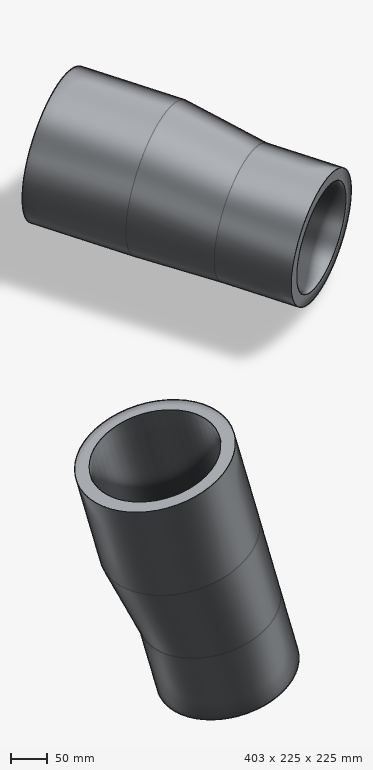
import cadquery as cq

total_length = 403.0
large_length = 155.5
taper_length = 132.0
small_length = total_length - large_length - taper_length

large_outer_diameter = 225.0
large_bore_diameter = 184.0
small_outer_diameter = 200.0
small_bore_diameter = 163.5

small_axis_y = -(large_outer_diameter - small_outer_diameter) / 2
taper_start_x = large_length
taper_end_x = large_length + taper_length


def straight_run(start_x, axis_y, diameter, length):
    plane = cq.Plane(origin=(start_x, axis_y, 0), xDir=(0, 1, 0), normal=(1, 0, 0))
    return cq.Workplane(plane).circle(diameter / 2).extrude(length)


def eccentric_taper(large_diameter, small_diameter):
    plane = cq.Plane(origin=(taper_start_x, 0, 0), xDir=(0, 1, 0), normal=(1, 0, 0))
    return (
        cq.Workplane(plane)
        .circle(large_diameter / 2)
        .workplane(offset=taper_length)
        .center(small_axis_y, 0)
        .circle(small_diameter / 2)
        .loft(ruled=True)
    )


def reducer_body(large_diameter, small_diameter):
    large_run = straight_run(0, 0, large_diameter, large_length)
    taper = eccentric_taper(large_diameter, small_diameter)
    small_run = straight_run(taper_end_x, small_axis_y, small_diameter, small_length)
    return large_run.union(taper).union(small_run)


outer_body = reducer_body(large_outer_diameter, small_outer_diameter)
bore = reducer_body(large_bore_diameter, small_bore_diameter)
result = outer_body.cut(bore)